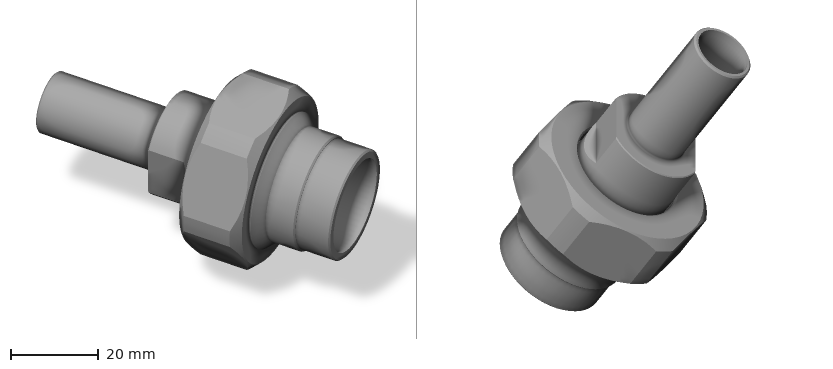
import cadquery as cq

overall_length = 77.5
shoulder_x = 30.0
nut_start_x = 42.6
nut_length = 15.9
nut_end_x = nut_start_x + nut_length

tube_diameter = 15.0
tube_bore = 13.0
tube_chamfer = 0.4
tube_root_fillet = 0.4
shoulder_diameter = 25.0
shoulder_chamfer = 0.2
collar_diameter = 30.3
collar_length = 3.1
flats_width = 21.0
flats_end_x = 39.05

nut_across_flats = 41.0
nut_turned_diameter = 44.7
nut_face_diameter = 40.5
nut_bore = 26.0
nut_bore_chamfer = 0.5
nut_web = 3.9
thread_diameter = 33.1
nut_chamfer = (nut_turned_diameter - nut_face_diameter) / 2

cone_start_x = 59.0
body_diameter = 28.0
cone_end_x = cone_start_x + (thread_diameter - body_diameter) / 2
body_end_x = 68.9
body_chamfer = 0.4
spigot_diameter = 26.9
spigot_chamfer = 0.4
fitting_bore = 22.9

collar_start_x = nut_start_x + nut_web
collar_end_x = collar_start_x + collar_length


def cylinder(diameter, start_x, end_x):
    """Solid cylinder along the X axis."""
    return cq.Workplane("YZ", origin=(start_x, 0, 0)).circle(diameter / 2).extrude(end_x - start_x)


def wrench_flat_cutter(side):
    """Material outside one wrench flat; side is +1 or -1 along Y."""
    flat_y = flats_width / 2
    outer_y = shoulder_diameter
    run_out = outer_y - flat_y
    return (
        cq.Workplane("XY", origin=(0, 0, -shoulder_diameter))
        .moveTo(shoulder_x, side * flat_y)
        .lineTo(flats_end_x, side * flat_y)
        .lineTo(flats_end_x + run_out, side * outer_y)
        .lineTo(shoulder_x, side * outer_y)
        .close()
        .extrude(2 * shoulder_diameter)
    )


def make_tailpiece():
    tube = cylinder(tube_diameter, 0, shoulder_x).faces("<X").edges().chamfer(tube_chamfer)
    shoulder = cylinder(shoulder_diameter, shoulder_x, collar_start_x)
    shoulder = shoulder.faces("<X").edges().chamfer(shoulder_chamfer)
    for side in (-1, 1):
        shoulder = shoulder.cut(wrench_flat_cutter(side))
    collar = cylinder(collar_diameter, collar_start_x, collar_end_x)

    tube_radius = tube_diameter / 2
    fillet_start_x = shoulder_x - tube_root_fillet
    arc_offset = tube_root_fillet * 0.5 ** 0.5
    root_fillet = (
        cq.Workplane("XY")
        .moveTo(fillet_start_x, 0)
        .lineTo(fillet_start_x, tube_radius)
        .threePointArc(
            (fillet_start_x + arc_offset, tube_radius + tube_root_fillet - arc_offset),
            (shoulder_x, tube_radius + tube_root_fillet),
        )
        .lineTo(shoulder_x, 0)
        .close()
        .revolve(360, (0, 0, 0), (1, 0, 0))
    )
    bore = cylinder(tube_bore, 0, collar_end_x)
    return tube.union(root_fillet).union(shoulder).union(collar).cut(bore)


def make_nut():
    hexagon = (
        cq.Workplane("YZ", origin=(nut_start_x, 0, 0))
        .polygon(6, nut_across_flats, circumscribed=True)
        .extrude(nut_length)
        .rotate((0, 0, 0), (1, 0, 0), 90)
    )
    turned = cylinder(nut_turned_diameter, nut_start_x, nut_end_x)
    turned = turned.faces("<X or >X").edges().chamfer(nut_chamfer)
    bore = cylinder(nut_bore, nut_start_x, collar_start_x)
    thread_bore = cylinder(thread_diameter, collar_start_x, nut_end_x)
    nut_blank = hexagon.intersect(turned).cut(bore)
    bore_rim = cq.selectors.RadiusNthSelector(0)
    nut_blank = nut_blank.faces("<X").edges(bore_rim).chamfer(nut_bore_chamfer)
    return nut_blank.cut(thread_bore)


def make_end_fitting():
    body = (
        cq.Workplane("XY")
        .moveTo(collar_end_x, fitting_bore / 2)
        .lineTo(collar_end_x, thread_diameter / 2)
        .lineTo(cone_start_x, thread_diameter / 2)
        .lineTo(cone_end_x, body_diameter / 2)
        .lineTo(body_end_x - body_chamfer, body_diameter / 2)
        .lineTo(body_end_x, body_diameter / 2 - body_chamfer)
        .lineTo(body_end_x, spigot_diameter / 2)
        .lineTo(overall_length - spigot_chamfer, spigot_diameter / 2)
        .lineTo(overall_length, spigot_diameter / 2 - spigot_chamfer)
        .lineTo(overall_length, fitting_bore / 2)
        .close()
    )
    return body.revolve(360, (0, 0, 0), (1, 0, 0))


tailpiece = make_tailpiece()
nut = make_nut()
end_fitting = make_end_fitting()

result = cq.Compound.makeCompound([tailpiece.val(), nut.val(), end_fitting.val()])